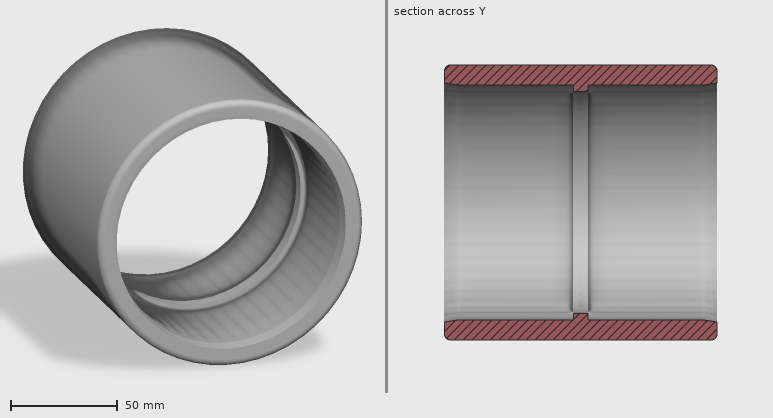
import cadquery as cq

length = 128.0
outer_diameter = 129.5
socket_diameter = 110.0
mouth_diameter = 112.0
stop_diameter = 103.7
stop_width = 7.3
lead_in_length = 6.7
rim_radius = 3.2

half_length = length / 2
socket_depth = (length - stop_width) / 2


def centred_cylinder(diameter):
    """Full-length cylinder along X, centred on the origin."""
    start = cq.Workplane("YZ").workplane(offset=-half_length)
    return start.circle(diameter / 2).extrude(length)


def left_socket():
    """Cutter for the -X socket: a tapered lead-in followed by a straight bore."""
    mouth_x = -half_length
    profile = [
        (mouth_x, 0),
        (mouth_x, mouth_diameter / 2),
        (mouth_x + lead_in_length, socket_diameter / 2),
        (mouth_x + socket_depth, socket_diameter / 2),
        (mouth_x + socket_depth, 0),
    ]
    return cq.Workplane("XY").polyline(profile).close().revolve(360, (0, 0, 0), (1, 0, 0))


sleeve = centred_cylinder(outer_diameter).faces("<X or >X").edges().fillet(rim_radius)

stop_bore = centred_cylinder(stop_diameter)

socket = left_socket()
result = sleeve.cut(stop_bore).cut(socket).cut(socket.mirror("YZ"))